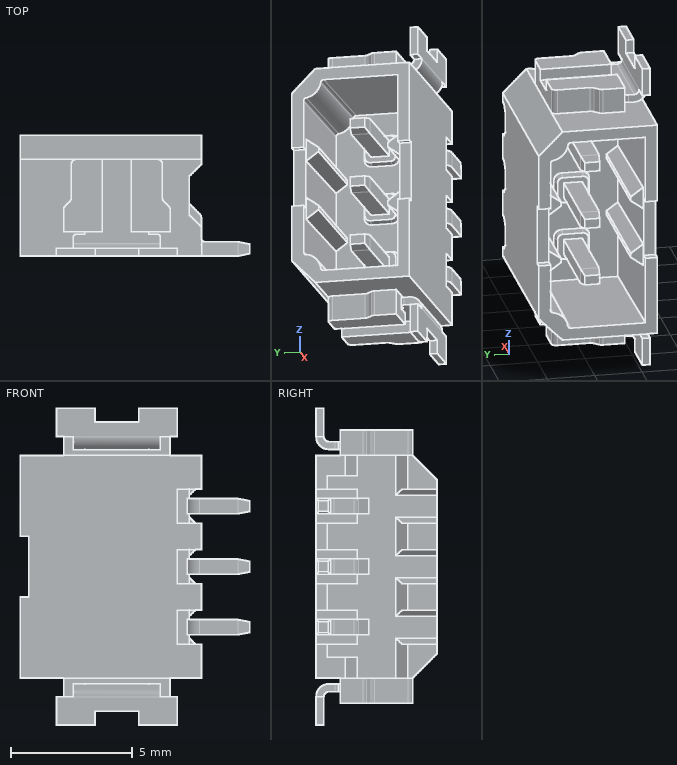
import cadquery as cq
import math


HOUSING_LENGTH = 7.5
HOUSING_WIDTH = 9.2
HOUSING_TOP = 5.0
TOP_CHAMFER = 1.0
HALF_WIDTH = HOUSING_WIDTH / 2

WALL = 0.5
CAVITY_DEPTH = 5.5
SIDE_DRAFT = 0.05
KEY_RADIUS = 0.74
KEY_FILLET = 0.13
MOUTH_NOTCH_DEPTH = 0.35
MOUTH_NOTCH_WIDTH = 2.5

RIB_START = 0.45
RIB_HEIGHT = 0.53
RIB_BASE_WIDTH = 0.94
RIB_CREST_WIDTH = 0.18

PIN_PITCH = 2.5
PIN_CENTERS = [-PIN_PITCH, 0, PIN_PITCH]
PIN_AXIS_Y = 2.5
PIN_HEIGHT = 0.78
PIN_WIDTH = 0.635
PIN_TIP_X = 1.2
PIN_TAPER = 0.55
PIN_TIP_HEIGHT = 0.62
PIN_TIP_WIDTH = 0.4
LEG_THICKNESS = 0.6
LEG_X = HOUSING_LENGTH - LEG_THICKNESS
LEG_SHOULDER = 1.67
SHOULDER_RADIUS = 0.25
HEEL_RADIUS = 0.5
INSTEP_RADIUS = 0.13
FOOT_END = 9.5
FOOT_TAPER = 0.5
FOOT_TIP_HEIGHT = 0.4
FOOT_TIP_WIDTH = 0.44

COLLAR_HEIGHT = 0.3
COLLAR_SIZE_Y = 1.5
COLLAR_SIZE_Z = 1.3
COLLAR_TAPER = 0.1
COLLAR_CORNER = 0.32

GROOVE_DEPTH = 0.5
GROOVE_FLOOR_BOTTOM = 1.7
GROOVE_FLOOR_TOP = 3.3
SLOT_DEPTH = 1.0
SLOT_WIDTH = 1.4
SLOT_FLOOR_WIDTH = 0.9
RELIEF_BOTTOM = 0.47

LUG_CENTER_X = 4.0
LUG_HEIGHT = 1.05
LUG_BOTTOM = 1.0
LUG_TOP = HOUSING_TOP - TOP_CHAMFER
LUG_WIDE_HALF = 2.2
LUG_NARROW_HALF = 1.88
LUG_SHOULDER = 2.01
LUG_ROUND = 0.2
CHANNEL_WIDTH = 1.2

CLIP_THICKNESS = 0.33
CLIP_NECK_Z = 4.84
CLIP_END_Z = 6.55
CLIP_INNER_BEND = 0.2
CLIP_OUTER_BEND = CLIP_INNER_BEND + CLIP_THICKNESS
CLIP_NECK_WIDTH = 3.6
CLIP_NECK_TOP = 0.91
CLIP_NECK_ROUND = 0.13
CLIP_TONGUE_WIDTH = 2.65
CLIP_PLATE_WIDTH = 5.0
CLIP_NOTCH_WIDTH = 1.8
CLIP_NOTCH_DEPTH = 0.57


def box(x_range, y_range, z_range):
    """Box given by its limits along each axis."""
    size = [limits[1] - limits[0] for limits in (x_range, y_range, z_range)]
    corner = (x_range[0], y_range[0], z_range[0])
    return cq.Workplane("XY").box(*size, centered=False).translate(corner)


def prism_along_x(points, x_start, x_end):
    """Polygon of (y, z) points extruded from x_start to x_end."""
    return cq.Workplane("YZ", origin=(x_start, 0, 0)).polyline(points).close().extrude(x_end - x_start)


def frustum_along_x(x_start, x_end, center, start_size, end_size):
    """Rectangular frustum along X about a (y, z) center; sizes are (y, z)."""
    return (
        cq.Workplane("YZ", origin=(x_start, *center))
        .rect(*start_size)
        .workplane(offset=x_end - x_start)
        .rect(*end_size)
        .loft(combine=True)
    )


def housing_block():
    points = [
        (0, -HALF_WIDTH),
        (HOUSING_TOP - TOP_CHAMFER, -HALF_WIDTH),
        (HOUSING_TOP, -HALF_WIDTH + TOP_CHAMFER),
        (HOUSING_TOP, HALF_WIDTH - TOP_CHAMFER),
        (HOUSING_TOP - TOP_CHAMFER, HALF_WIDTH),
        (0, HALF_WIDTH),
    ]
    return prism_along_x(points, 0, HOUSING_LENGTH)


def key_points(corner_y, corner_z):
    """Points of the rounded key at the +Z upper corner, from the end wall to the upper wall.

    The key is a circle about the cavity corner, blended into each wall by a small fillet.
    """
    center_distance = KEY_RADIUS + KEY_FILLET
    reach = math.sqrt(center_distance**2 - KEY_FILLET**2)
    tilt = math.asin(KEY_FILLET / center_distance)
    half_turn = (math.pi / 2 - tilt) / 2
    blend = [
        (reach, 0),
        (reach - KEY_FILLET * math.sin(half_turn), KEY_FILLET * (1 - math.cos(half_turn))),
        (KEY_RADIUS * math.cos(tilt), KEY_RADIUS * math.sin(tilt)),
    ]
    middle = KEY_RADIUS * math.sqrt(0.5)
    offsets = blend + [(middle, middle)] + [(b, a) for a, b in reversed(blend)]
    return [(corner_y - a, corner_z - b) for a, b in offsets]


def cavity_outline(plane, inset):
    """Closed cavity outline; inset moves the upper and lower walls inward."""
    bottom = WALL + inset
    end_wall = HALF_WIDTH - WALL
    key = key_points(HOUSING_TOP - WALL - inset, end_wall)
    mirrored_key = [(y, -z) for y, z in reversed(key)]
    outline = plane.moveTo(bottom, -end_wall).lineTo(bottom, end_wall)
    for points in (key, mirrored_key):
        outline = outline.lineTo(*points[0])
        for middle, end in zip(points[1::2], points[2::2]):
            outline = outline.threePointArc(middle, end)
    return outline.close()


def cavity():
    mouth = cavity_outline(cq.Workplane("YZ"), 0)
    return cavity_outline(mouth.workplane(offset=CAVITY_DEPTH), SIDE_DRAFT).loft(ruled=True, combine=True)


def ribs():
    """Four ribs midway between the pins, two on each drafted wall."""
    walls = [
        (WALL / 2, WALL, 1),
        (HOUSING_TOP - WALL / 2, HOUSING_TOP - WALL, -1),
    ]
    base = RIB_BASE_WIDTH / 2
    crest = RIB_CREST_WIDTH / 2
    all_ribs = cq.Workplane("XY")
    for root, wall, inward in walls:
        for z in (-PIN_PITCH / 2, PIN_PITCH / 2):
            points = [
                (root, z - base),
                (wall, z - base),
                (wall + inward * RIB_HEIGHT, z - crest),
                (wall + inward * RIB_HEIGHT, z + crest),
                (wall, z + base),
                (root, z + base),
            ]
            all_ribs = all_ribs.union(prism_along_x(points, RIB_START, CAVITY_DEPTH))
    return all_ribs


def collar(z):
    outer = cq.Sketch().rect(COLLAR_SIZE_Y, COLLAR_SIZE_Z).vertices().fillet(COLLAR_CORNER)
    taper_angle = math.degrees(math.atan(COLLAR_TAPER / COLLAR_HEIGHT))
    return (
        cq.Workplane("YZ", origin=(CAVITY_DEPTH, PIN_AXIS_Y, z))
        .placeSketch(outer)
        .extrude(-COLLAR_HEIGHT, taper=taper_angle)
    )


def rear_groove():
    points = [
        (HOUSING_LENGTH, GROOVE_FLOOR_BOTTOM - GROOVE_DEPTH),
        (HOUSING_LENGTH - GROOVE_DEPTH, GROOVE_FLOOR_BOTTOM),
        (HOUSING_LENGTH - GROOVE_DEPTH, GROOVE_FLOOR_TOP),
        (HOUSING_LENGTH, GROOVE_FLOOR_TOP + GROOVE_DEPTH),
    ]
    return cq.Workplane("XY").polyline(points).close().extrude(HALF_WIDTH, both=True)


def pin_row_relief():
    """Opens the rear groove downward along the pin row, leaving a low foot under it."""
    half_row = PIN_PITCH * len(PIN_CENTERS) / 2
    return box(
        (HOUSING_LENGTH - GROOVE_DEPTH, HOUSING_LENGTH),
        (RELIEF_BOTTOM, GROOVE_FLOOR_BOTTOM),
        (-half_row, half_row),
    )


def rear_slot(z):
    """Full-height slot at the rear with a 45 degree flare, cut deeper below the groove."""
    half = SLOT_WIDTH / 2
    floor_x = HOUSING_LENGTH - GROOVE_DEPTH
    flare_end = floor_x + (SLOT_WIDTH - SLOT_FLOOR_WIDTH) / 2
    lower = box(
        (HOUSING_LENGTH - SLOT_DEPTH, HOUSING_LENGTH),
        (0, GROOVE_FLOOR_BOTTOM),
        (z - half, z + half),
    )
    flared = (
        cq.Workplane("ZX")
        .polyline([
            (z - half, HOUSING_LENGTH),
            (z - half, flare_end),
            (z - SLOT_FLOOR_WIDTH / 2, floor_x),
            (z + SLOT_FLOOR_WIDTH / 2, floor_x),
            (z + half, flare_end),
            (z + half, HOUSING_LENGTH),
        ])
        .close()
        .extrude(HOUSING_TOP)
    )
    return lower.union(flared)


def pin(z):
    """Tapered contact, and a leg that bends down and back into a tapered solder foot."""
    half = PIN_WIDTH / 2
    section = (PIN_HEIGHT, PIN_WIDTH)
    taper_end = PIN_TIP_X + PIN_TAPER
    axis = (PIN_AXIS_Y, z)
    tip = frustum_along_x(PIN_TIP_X, taper_end, axis, (PIN_TIP_HEIGHT, PIN_TIP_WIDTH), section)
    contact = frustum_along_x(taper_end, HOUSING_LENGTH - SLOT_DEPTH, axis, section, section)

    leg_outer = HOUSING_LENGTH
    slope = math.sqrt(0.5)
    tangent = SHOULDER_RADIUS * math.tan(math.pi / 8)
    foot_taper_start = FOOT_END - FOOT_TAPER
    leg = (
        cq.Workplane("XY", origin=(0, 0, z - half))
        .moveTo(LEG_X, HEEL_RADIUS)
        .radiusArc((LEG_X + HEEL_RADIUS, 0), -HEEL_RADIUS)
        .lineTo(foot_taper_start, 0)
        .lineTo(foot_taper_start, LEG_THICKNESS)
        .lineTo(leg_outer + INSTEP_RADIUS, LEG_THICKNESS)
        .radiusArc((leg_outer, LEG_THICKNESS + INSTEP_RADIUS), INSTEP_RADIUS)
        .lineTo(leg_outer, LEG_SHOULDER - tangent)
        .radiusArc((leg_outer - tangent * slope, LEG_SHOULDER + tangent * slope), -SHOULDER_RADIUS)
        .lineTo(LEG_X, LEG_SHOULDER + LEG_THICKNESS)
        .close()
        .extrude(PIN_WIDTH)
    )
    foot_tip = frustum_along_x(
        foot_taper_start,
        FOOT_END,
        (LEG_THICKNESS / 2, z),
        (LEG_THICKNESS, PIN_WIDTH),
        (FOOT_TIP_HEIGHT, FOOT_TIP_WIDTH),
    )
    return tip.union(contact).union(leg).union(foot_tip)


def lug():
    """Stepped lug on the +Z end, with a channel down to the clip's outer face."""
    step = LUG_WIDE_HALF - LUG_NARROW_HALF
    right_side = [
        (LUG_WIDE_HALF, LUG_BOTTOM),
        (LUG_WIDE_HALF, LUG_SHOULDER),
        (LUG_NARROW_HALF, LUG_SHOULDER + step),
        (LUG_NARROW_HALF, LUG_TOP),
    ]
    left_side = [(-x, y) for x, y in reversed(right_side)]
    above_bottom = cq.selectors.BoxSelector(
        (0, LUG_BOTTOM + LUG_ROUND, 0),
        (HOUSING_LENGTH, HOUSING_TOP, CLIP_END_Z),
    )
    block = (
        cq.Workplane("XY", origin=(LUG_CENTER_X, 0, HALF_WIDTH))
        .polyline(right_side + left_side)
        .close()
        .extrude(LUG_HEIGHT)
        .edges("|Z")
        .edges(above_bottom)
        .fillet(LUG_ROUND)
    )
    channel = box(
        (LUG_CENTER_X - CHANNEL_WIDTH / 2, LUG_CENTER_X + CHANNEL_WIDTH / 2),
        (0, HOUSING_TOP),
        (CLIP_NECK_Z + CLIP_THICKNESS, CLIP_END_Z),
    )
    return block.cut(channel)


def clip():
    """Solder clip on the +Z end: tongue and neck from the lug, bent out into a notched plate."""
    plate_start = CLIP_NECK_Z + CLIP_OUTER_BEND
    neck_outer = CLIP_NECK_Z + CLIP_THICKNESS
    half_neck = CLIP_NECK_WIDTH / 2
    half_tongue = CLIP_TONGUE_WIDTH / 2
    half_plate = CLIP_PLATE_WIDTH / 2
    half_notch = CLIP_NOTCH_WIDTH / 2

    strip = (
        cq.Workplane("YZ", origin=(LUG_CENTER_X - half_neck, 0, 0))
        .moveTo(CLIP_NECK_TOP, CLIP_NECK_Z)
        .lineTo(CLIP_OUTER_BEND, CLIP_NECK_Z)
        .radiusArc((0, plate_start), CLIP_OUTER_BEND)
        .lineTo(CLIP_THICKNESS, plate_start)
        .radiusArc((CLIP_OUTER_BEND, neck_outer), -CLIP_INNER_BEND)
        .lineTo(CLIP_NECK_TOP, neck_outer)
        .close()
        .extrude(CLIP_NECK_WIDTH)
        .edges("|Z and >Y")
        .fillet(CLIP_NECK_ROUND)
    )
    tongue = box(
        (LUG_CENTER_X - half_tongue, LUG_CENTER_X + half_tongue),
        (CLIP_OUTER_BEND, LUG_SHOULDER),
        (CLIP_NECK_Z, neck_outer),
    )
    plate = box(
        (LUG_CENTER_X - half_plate, LUG_CENTER_X + half_plate),
        (0, CLIP_THICKNESS),
        (plate_start, CLIP_END_Z),
    )
    notch = box(
        (LUG_CENTER_X - half_notch, LUG_CENTER_X + half_notch),
        (0, CLIP_THICKNESS),
        (CLIP_END_Z - CLIP_NOTCH_DEPTH, CLIP_END_Z),
    )
    return strip.union(tongue).union(plate.cut(notch))


half_mouth = MOUTH_NOTCH_WIDTH / 2
mouth_notch = box((0, MOUTH_NOTCH_DEPTH), (0, HOUSING_TOP), (-half_mouth, half_mouth))

result = housing_block().cut(cavity()).cut(mouth_notch).union(ribs())
result = result.cut(rear_groove()).cut(pin_row_relief())
for pin_z in PIN_CENTERS:
    result = result.cut(rear_slot(pin_z)).union(collar(pin_z)).union(pin(pin_z))

end_fitting = lug().union(clip())
result = result.union(end_fitting).union(end_fitting.mirror("XY")).clean()